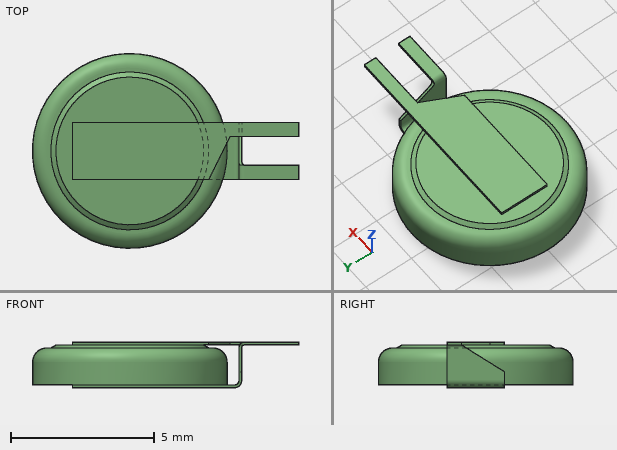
import cadquery as cq
import math

total_length = 9.3
total_height = 1.6
tab_thickness = 0.1

cell_diameter = 6.8
cell_radius = cell_diameter / 2
cell_bottom = tab_thickness
cell_top = total_height - tab_thickness
shoulder_radius = 0.5
lid_height = 0.1
lid_base_radius = 2.75
lid_top_radius = 2.58
shoulder_height = cell_top - lid_height

tab_width = 2.0
tab_start = -2.0
tab_end = total_length - cell_radius
prong_width = 0.5
half_width = tab_width / 2

slant_start = 2.75
slant_end = 3.5

riser_outer = 3.91
riser_inner = riser_outer - tab_thickness
lower_bend_inner_radius = 0.16
lower_bend_outer_radius = lower_bend_inner_radius + tab_thickness
upper_bend_inner_radius = 0.1
upper_bend_outer_radius = upper_bend_inner_radius + tab_thickness
riser_slope_angle = 32.0


def make_cell():
    """Round can with a rounded shoulder and a low conical lid."""
    can = (
        cq.Workplane("XY")
        .workplane(offset=cell_bottom)
        .circle(cell_radius)
        .extrude(shoulder_height - cell_bottom)
        .faces(">Z")
        .edges()
        .fillet(shoulder_radius)
    )
    lid = cq.Workplane(
        cq.Solid.makeCone(lid_base_radius, lid_top_radius, lid_height, cq.Vector(0, 0, shoulder_height))
    )
    return can.union(lid).solids()


def make_upper_tab():
    """Flat tab on the lid, with its prong along the +Y edge."""
    prong_inner_edge = half_width - prong_width
    return (
        cq.Workplane("XY")
        .workplane(offset=cell_top)
        .moveTo(tab_start, -half_width)
        .lineTo(slant_start, -half_width)
        .lineTo(slant_end, prong_inner_edge)
        .lineTo(tab_end, prong_inner_edge)
        .lineTo(tab_end, half_width)
        .lineTo(tab_start, half_width)
        .close()
        .extrude(tab_thickness)
    )


def make_bent_strip():
    """Full-width strip: flat under the cell, riser, and flat at the top."""
    lower_bend_x = riser_outer - lower_bend_outer_radius
    upper_bend_x = riser_inner + upper_bend_outer_radius
    upper_bend_z = total_height - upper_bend_outer_radius
    return (
        cq.Workplane("XZ")
        .moveTo(tab_start, 0)
        .lineTo(lower_bend_x, 0)
        .radiusArc((riser_outer, lower_bend_outer_radius), -lower_bend_outer_radius)
        .lineTo(riser_outer, upper_bend_z)
        .radiusArc((upper_bend_x, cell_top), upper_bend_inner_radius)
        .lineTo(tab_end, cell_top)
        .lineTo(tab_end, total_height)
        .lineTo(upper_bend_x, total_height)
        .radiusArc((riser_inner, upper_bend_z), -upper_bend_outer_radius)
        .lineTo(riser_inner, lower_bend_outer_radius)
        .radiusArc((lower_bend_x, tab_thickness), lower_bend_inner_radius)
        .lineTo(tab_start, tab_thickness)
        .close()
        .extrude(half_width, both=True)
    )


def make_lower_tab():
    """Bent strip trimmed to a sloping riser top and a prong along the -Y edge."""
    prong_inner_edge = prong_width - half_width
    slope_drop = (tab_width - prong_width) * math.tan(math.radians(riser_slope_angle))
    end_outline = (
        cq.Workplane("YZ")
        .workplane(offset=tab_start)
        .moveTo(-half_width, 0)
        .lineTo(half_width, 0)
        .lineTo(half_width, cell_top - slope_drop)
        .lineTo(prong_inner_edge, cell_top)
        .lineTo(prong_inner_edge, total_height)
        .lineTo(-half_width, total_height)
        .close()
        .extrude(tab_end - tab_start)
    )
    return make_bent_strip().intersect(end_outline).solids()


cell = make_cell()
upper_tab = make_upper_tab()
lower_tab = make_lower_tab()

result = cq.Compound.makeCompound([cell.val(), upper_tab.val(), lower_tab.val()])